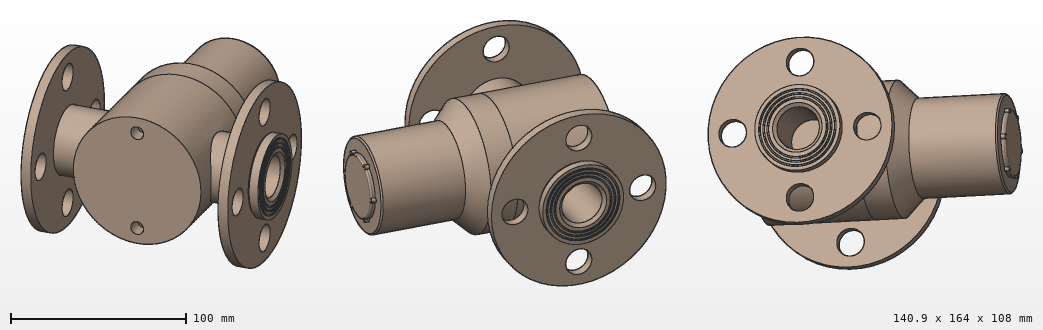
import cadquery as cq


flow_length = 140.9
total_length = 164.0
flange_diameter = 108.0
back_y = total_length - flange_diameter / 2

body_diameter = 79.0
body_front_y = -35.3
body_back_y = 27.4
blind_hole_diameter = 7.9
blind_hole_offset = 29.8
blind_hole_depth = 9.8

bonnet_diameter = 57.4
shoulder_y = 44.0
neck_y = 55.3
bonnet_chamfer = 1.0

knob_height = 2.8
knob_diameter = 38.7
knob_fillet = 1.1
grip_count = 6
grip_diameter = 3.0
bonnet_back_y = back_y - knob_height

collar_diameter = 50.0
collar_thickness = 6.4
collar_chamfer = 1.0
pipe_diameter = 41.0
bore_diameter = 25.0
bore_mouth_diameter = 29.0
bore_mouth_depth = 2.0
groove_outer_diameters = (35.8, 40.5, 45.5)
groove_width = 0.9
groove_depth = 0.5
face_x = flow_length / 2
collar_back_x = face_x - collar_thickness
socket_x = 32.8

flange_thickness = 6.0
flange_bore_diameter = 41.5
bolt_hole_count = 4
bolt_hole_diameter = 16.0
bolt_circle_diameter = 79.0


def cylinder_y(diameter, y_start, y_end):
    """Cylinder on the stem axis."""
    return (
        cq.Workplane("XZ", origin=(0, y_start, 0))
        .circle(diameter / 2)
        .extrude(y_start - y_end)
    )


def cylinder_x(diameter, x_start, x_end):
    """Cylinder on the flow axis."""
    return (
        cq.Workplane("YZ", origin=(x_start, 0, 0))
        .circle(diameter / 2)
        .extrude(x_end - x_start)
    )


def both_sides(part):
    """The part built on the +X side and its mirror image on the -X side."""
    return [part, part.mirror("YZ")]


def make_valve_body():
    body = cylinder_y(body_diameter, body_front_y, body_back_y)
    for socket in both_sides(cylinder_x(pipe_diameter, socket_x, face_x)):
        body = body.cut(socket)
    blind_holes = (
        cq.Workplane("XZ", origin=(0, body_front_y, 0))
        .pushPoints([(0, blind_hole_offset), (0, -blind_hole_offset)])
        .circle(blind_hole_diameter / 2)
        .extrude(-blind_hole_depth)
    )
    return body.cut(blind_holes)


def make_bonnet():
    wide_radius = body_diameter / 2
    narrow_radius = bonnet_diameter / 2
    return (
        cq.Workplane("XY")
        .moveTo(0, body_back_y)
        .lineTo(wide_radius, body_back_y)
        .lineTo(wide_radius, shoulder_y)
        .lineTo(narrow_radius, neck_y)
        .lineTo(narrow_radius, bonnet_back_y - bonnet_chamfer)
        .lineTo(narrow_radius - bonnet_chamfer, bonnet_back_y)
        .lineTo(0, bonnet_back_y)
        .close()
        .revolve(360, (0, 0, 0), (0, 1, 0))
    )


def make_knob():
    disc = cylinder_y(knob_diameter, bonnet_back_y, back_y).faces(">Y").edges().fillet(knob_fillet)
    grips = (
        cq.Workplane("XZ", origin=(0, bonnet_back_y, 0))
        .polarArray(knob_diameter / 2, 0, 360, grip_count)
        .circle(grip_diameter / 2)
        .extrude(-knob_height)
    )
    return disc.union(grips)


def make_stub_end():
    collar = cylinder_x(collar_diameter, collar_back_x, face_x)
    collar = collar.faces("<X").edges().chamfer(collar_chamfer)
    pipe = cylinder_x(pipe_diameter, socket_x, face_x)
    stub = collar.union(pipe).cut(cylinder_x(bore_diameter, socket_x, face_x))

    mouth = (
        cq.Workplane("YZ", origin=(face_x, 0, 0))
        .circle(bore_mouth_diameter / 2)
        .workplane(offset=-bore_mouth_depth)
        .circle(bore_diameter / 2)
        .loft()
    )
    stub = stub.cut(mouth)

    for outer_diameter in groove_outer_diameters:
        groove = (
            cq.Workplane("YZ", origin=(face_x, 0, 0))
            .circle(outer_diameter / 2)
            .circle(outer_diameter / 2 - groove_width)
            .extrude(-groove_depth)
        )
        stub = stub.cut(groove)
    return stub


def make_flange():
    flange_back_x = collar_back_x - flange_thickness
    disc = cylinder_x(flange_diameter, flange_back_x, collar_back_x)
    disc = disc.cut(cylinder_x(flange_bore_diameter, flange_back_x, collar_back_x))
    bolt_holes = (
        cq.Workplane("YZ", origin=(flange_back_x, 0, 0))
        .polarArray(bolt_circle_diameter / 2, 0, 360, bolt_hole_count)
        .circle(bolt_hole_diameter / 2)
        .extrude(flange_thickness)
    )
    return disc.cut(bolt_holes)


valve_body = make_valve_body()
bonnet = make_bonnet()
knob = make_knob()
stub_ends = both_sides(make_stub_end())
flanges = both_sides(make_flange())

result = cq.Compound.makeCompound([
    valve_body.val(),
    bonnet.val(),
    knob.val(),
    *[stub_end.val() for stub_end in stub_ends],
    *[flange.val() for flange in flanges],
])